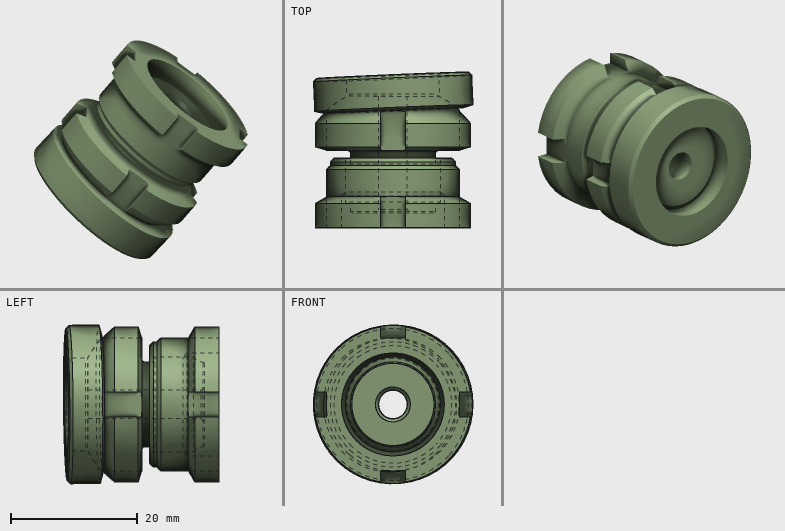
import cadquery as cq
import math


RIM_RADIUS = 12.35
THREAD_RADIUS = 7.48
SLOT_WIDTH = 3.98
SLOT_FLOOR_RADIUS = 10.47
SLOT_COUNT = 4

RING_RIM_LENGTH = 3.83
RING_BODY_RADIUS = 10.47
RING_SHOULDER_ANGLE = 30
RING_STEP_Y = 9.8
RING_STEP_RADIUS = 9.87
RING_LENGTH = 10.97
RING_CHAMFER = 0.6
COUNTERBORE_RADIUS = 8.1
COUNTERBORE_DEPTH = 5.03

TIP_Y = 2.35
TIP_RADIUS = 6.7
TIP_CHAMFER = 0.23
TIP_LENGTH = 0.75
THREAD_CHAMFER_ANGLE = math.radians(45)
THREAD_END_Y = 10.07
NECK_RADIUS = 6.7
HEAD_Y = 12.13
UNDERCUT_FILLET = 0.4
HEAD_RIM_START_Y = 12.74
HEAD_RIM_END_Y = 16.44
HEAD_TAPER_ANGLE = 17
DOME_RADIUS = 15.6
DOME_TOP_RADIUS = 6.55
HOLE_RADIUS = 2.25
HOLE_CHAMFER = 0.5

WASHER_RADIUS = 12.48
WASHER_BORE_RADIUS = 7.3
WASHER_RIM_START_Y = 18.85
WASHER_TOP_Y = 24.0
WASHER_CHAMFER = 0.5
WASHER_FLAT_RADIUS = 10.9
WASHER_TAPER_ANGLE = 15
PIVOT_Y = 22.15
TILT_ABOUT_Z = 2.4
TILT_ABOUT_X = -0.5


def taper_rise(radius_change, angle):
    """Axial length of a cone that changes radius at an angle from the flat face."""
    return radius_change * math.tan(math.radians(angle))


def height_on_sphere(sphere_radius, radius):
    """Height above a sphere's centre of its circle with the given radius."""
    return math.sqrt(sphere_radius**2 - radius**2)


def revolve_about_y(profile):
    return profile.close().revolve(360, (0, 0, 0), (0, 1, 0))


def cut_rim_slots(body, start_y, end_y):
    """Cut equally spaced wrench slots into the rim between two Y positions."""
    depth = RIM_RADIUS - SLOT_FLOOR_RADIUS
    slot = cq.Workplane("XY").box(SLOT_WIDTH, end_y - start_y, depth, centered=(True, False, False))
    slot = slot.translate((0, start_y, SLOT_FLOOR_RADIUS))
    for i in range(SLOT_COUNT):
        body = body.cut(slot.rotate((0, 0, 0), (0, 1, 0), i * 360 / SLOT_COUNT))
    return body


def make_lock_ring():
    """Slotted ring that carries the spindle thread behind a counterbore."""
    shoulder_y = RING_RIM_LENGTH + taper_rise(RIM_RADIUS - RING_BODY_RADIUS, RING_SHOULDER_ANGLE)
    profile = (
        cq.Workplane("XY")
        .moveTo(COUNTERBORE_RADIUS, 0)
        .lineTo(RIM_RADIUS, 0)
        .lineTo(RIM_RADIUS, RING_RIM_LENGTH)
        .lineTo(RING_BODY_RADIUS, shoulder_y)
        .lineTo(RING_BODY_RADIUS, RING_STEP_Y - (RING_BODY_RADIUS - RING_STEP_RADIUS))
        .lineTo(RING_STEP_RADIUS, RING_STEP_Y)
        .lineTo(RING_STEP_RADIUS, RING_LENGTH - RING_CHAMFER)
        .lineTo(RING_STEP_RADIUS - RING_CHAMFER, RING_LENGTH)
        .lineTo(THREAD_RADIUS, RING_LENGTH)
        .lineTo(THREAD_RADIUS, COUNTERBORE_DEPTH + COUNTERBORE_RADIUS - THREAD_RADIUS)
        .lineTo(COUNTERBORE_RADIUS, COUNTERBORE_DEPTH)
    )
    return cut_rim_slots(revolve_about_y(profile), 0, shoulder_y)


def make_spindle():
    """Threaded spindle with a domed head, before its slots, and the Y position of its top."""
    head_bottom_radius = RIM_RADIUS - (HEAD_RIM_START_Y - HEAD_Y) / math.tan(math.radians(HEAD_TAPER_ANGLE))
    dome_centre_y = HEAD_RIM_END_Y - height_on_sphere(DOME_RADIUS, RIM_RADIUS)
    dome_top_y = dome_centre_y + height_on_sphere(DOME_RADIUS, DOME_TOP_RADIUS)
    dome_middle_radius = (RIM_RADIUS + DOME_TOP_RADIUS) / 2
    dome_middle_y = dome_centre_y + height_on_sphere(DOME_RADIUS, dome_middle_radius)
    thread_start_y = TIP_Y + TIP_LENGTH
    chamfer_radius = TIP_RADIUS + UNDERCUT_FILLET * (1 - math.cos(THREAD_CHAMFER_ANGLE))
    chamfer_y = thread_start_y + UNDERCUT_FILLET * math.sin(THREAD_CHAMFER_ANGLE)
    profile = (
        cq.Workplane("XY")
        .moveTo(HOLE_RADIUS + HOLE_CHAMFER, TIP_Y)
        .lineTo(TIP_RADIUS - TIP_CHAMFER, TIP_Y)
        .lineTo(TIP_RADIUS, TIP_Y + TIP_CHAMFER)
        .lineTo(TIP_RADIUS, thread_start_y)
        .radiusArc((chamfer_radius, chamfer_y), UNDERCUT_FILLET)
        .lineTo(THREAD_RADIUS, chamfer_y + THREAD_RADIUS - chamfer_radius)
        .lineTo(THREAD_RADIUS, THREAD_END_Y)
        .lineTo(NECK_RADIUS, THREAD_END_Y)
        .lineTo(NECK_RADIUS, HEAD_Y - UNDERCUT_FILLET)
        .radiusArc((NECK_RADIUS + UNDERCUT_FILLET, HEAD_Y), UNDERCUT_FILLET)
        .lineTo(head_bottom_radius, HEAD_Y)
        .lineTo(RIM_RADIUS, HEAD_RIM_START_Y)
        .lineTo(RIM_RADIUS, HEAD_RIM_END_Y)
        .threePointArc((dome_middle_radius, dome_middle_y), (DOME_TOP_RADIUS, dome_top_y))
        .lineTo(HOLE_RADIUS, dome_top_y)
        .lineTo(HOLE_RADIUS, TIP_Y + HOLE_CHAMFER)
    )
    return revolve_about_y(profile), dome_top_y


def make_washer(spindle):
    """Tilted washer with a flat underside, hollowed to seat on the dome of the spindle."""
    flat_y = WASHER_RIM_START_Y - taper_rise(WASHER_RADIUS - WASHER_FLAT_RADIUS, WASHER_TAPER_ANGLE)
    profile = (
        cq.Workplane("XY")
        .moveTo(WASHER_BORE_RADIUS, flat_y)
        .lineTo(WASHER_FLAT_RADIUS, flat_y)
        .lineTo(WASHER_RADIUS, WASHER_RIM_START_Y)
        .lineTo(WASHER_RADIUS, WASHER_TOP_Y - WASHER_CHAMFER)
        .lineTo(WASHER_RADIUS - WASHER_CHAMFER, WASHER_TOP_Y)
        .lineTo(WASHER_BORE_RADIUS, WASHER_TOP_Y)
    )
    washer = revolve_about_y(profile)
    washer = washer.rotate((0, PIVOT_Y, 0), (1, PIVOT_Y, 0), TILT_ABOUT_X)
    washer = washer.rotate((0, PIVOT_Y, 0), (0, PIVOT_Y, 1), TILT_ABOUT_Z)
    return washer.cut(spindle)


lock_ring = make_lock_ring()
plain_spindle, head_top_y = make_spindle()
washer = make_washer(plain_spindle)
spindle = cut_rim_slots(plain_spindle, HEAD_Y, head_top_y)

result = cq.Compound.makeCompound([lock_ring.val(), spindle.val(), washer.val()])